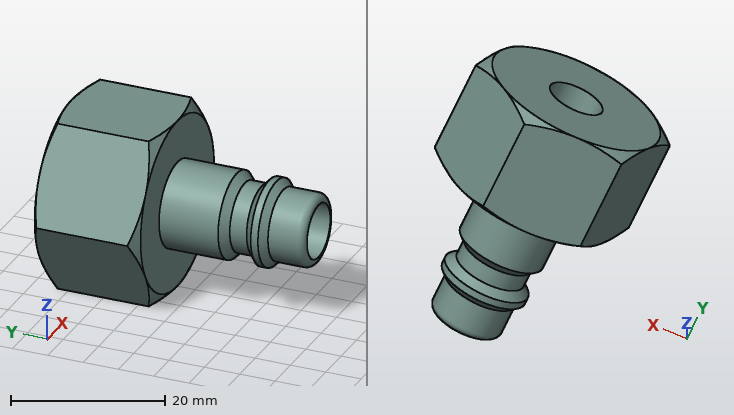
import cadquery as cq
import math

total_length = 35.0
hex_length = 15.0
stem_length = total_length - hex_length

across_flats = 24.0
across_corners = across_flats / math.cos(math.radians(30))
corner_chamfer_angle = 30.0

stem_diameter = 12.0
neck_diameter = 9.7
tip_diameter = 9.98
bore_diameter = 7.55
tip_round = 1.0

tip_land_end = 5.0
collar_start = 6.0
collar_end = 7.0
neck_start = 8.1
neck_end = 10.45
shoulder_start = neck_end + (stem_diameter - neck_diameter) / 2


def revolve_about_y(profile):
    """Revolve a closed XY profile around the Y axis."""
    return profile.close().revolve(360, (0, 0, 0), (0, 1, 0))


def make_hex_body():
    """Hexagonal prism with conically chamfered corners at both ends."""
    prism = (
        cq.Workplane("XZ")
        .polygon(6, across_corners)
        .extrude(-hex_length)
    )
    face_radius = across_flats / 2
    corner_radius = across_corners / 2
    chamfer_depth = (corner_radius - face_radius) * math.tan(math.radians(corner_chamfer_angle))
    envelope = revolve_about_y(
        cq.Workplane("XY")
        .moveTo(0, 0)
        .lineTo(face_radius, 0)
        .lineTo(corner_radius, chamfer_depth)
        .lineTo(corner_radius, hex_length - chamfer_depth)
        .lineTo(face_radius, hex_length)
        .lineTo(0, hex_length)
    )
    return prism.intersect(envelope)


def make_stem():
    """Turned plug with a rounded tip, a locking collar and a neck."""
    tip_y = -stem_length
    stem_radius = stem_diameter / 2
    neck_radius = neck_diameter / 2
    tip_radius = tip_diameter / 2
    return revolve_about_y(
        cq.Workplane("XY")
        .moveTo(0, tip_y)
        .lineTo(tip_radius - tip_round, tip_y)
        .radiusArc((tip_radius, tip_y + tip_round), -tip_round)
        .lineTo(tip_radius, tip_y + tip_land_end)
        .lineTo(stem_radius, tip_y + collar_start)
        .lineTo(stem_radius, tip_y + collar_end)
        .lineTo(neck_radius, tip_y + neck_start)
        .lineTo(neck_radius, tip_y + neck_end)
        .lineTo(stem_radius, tip_y + shoulder_start)
        .lineTo(stem_radius, 0)
        .lineTo(0, 0)
    )


def make_bore():
    """Through bore along the full length."""
    return (
        cq.Workplane("XZ", origin=(0, hex_length, 0))
        .circle(bore_diameter / 2)
        .extrude(total_length)
    )


result = make_hex_body().union(make_stem()).cut(make_bore())